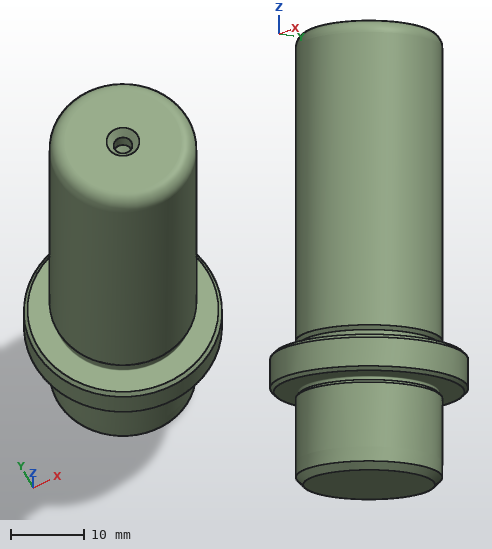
import cadquery as cq
import math

length = 63.0
pin_radius = 10.0
nose_radius = 2.0

end_chamfer = 1.0
lead_height = 3.0
lead_relief = 0.03

collar_radius = 13.515
collar_bottom = 13.0
collar_top = 18.0
collar_chamfer = 0.5

groove_depth = 0.45
groove_fillet = 0.1
lower_groove_width = 0.95
upper_groove_width = 2.0
upper_groove_taper_height = 0.55

centre_mouth_radius = 2.235
centre_pilot_radius = 1.25
centre_cone_angle = 90.0
centre_pilot_depth = 2.0
drill_point_angle = 120.0


def cone_height(radius_change, included_angle):
    """Axial height of a cone over a given change in radius."""
    return radius_change / math.tan(math.radians(included_angle / 2))


def quarter_offset(radius):
    """Distance from the tangent corner to the middle of a quarter arc, along each axis."""
    return radius * (1 - math.sqrt(0.5))


def make_body():
    lead_radius = pin_radius - lead_relief
    groove_radius = pin_radius - groove_depth
    lower_groove_start = collar_bottom - lower_groove_width
    upper_groove_end = collar_top + upper_groove_width
    fillet_radius = groove_radius + groove_fillet
    fillet_middle = groove_radius + quarter_offset(groove_fillet)
    nose_offset = quarter_offset(nose_radius)

    profile = (
        cq.Workplane("XZ")
        .moveTo(0, 0)
        .lineTo(lead_radius - end_chamfer, 0)
        .lineTo(lead_radius, end_chamfer)
        .lineTo(pin_radius, lead_height)
        .lineTo(pin_radius, lower_groove_start)
        .lineTo(groove_radius, lower_groove_start + groove_depth)
        .lineTo(groove_radius, collar_bottom - groove_fillet)
        .threePointArc(
            (fillet_middle, collar_bottom - quarter_offset(groove_fillet)),
            (fillet_radius, collar_bottom),
        )
        .lineTo(collar_radius - collar_chamfer, collar_bottom)
        .lineTo(collar_radius, collar_bottom + collar_chamfer)
        .lineTo(collar_radius, collar_top - collar_chamfer)
        .lineTo(collar_radius - collar_chamfer, collar_top)
        .lineTo(fillet_radius, collar_top)
        .threePointArc(
            (fillet_middle, collar_top + quarter_offset(groove_fillet)),
            (groove_radius, collar_top + groove_fillet),
        )
        .lineTo(groove_radius, upper_groove_end - upper_groove_taper_height)
        .lineTo(pin_radius, upper_groove_end)
        .lineTo(pin_radius, length - nose_radius)
        .threePointArc(
            (pin_radius - nose_offset, length - nose_offset),
            (pin_radius - nose_radius, length),
        )
        .lineTo(0, length)
        .close()
    )
    return profile.revolve(360, (0, 0), (0, 1))


def make_centre_hole():
    cone_bottom = length - cone_height(centre_mouth_radius - centre_pilot_radius, centre_cone_angle)
    pilot_bottom = cone_bottom - centre_pilot_depth
    tip = pilot_bottom - cone_height(centre_pilot_radius, drill_point_angle)
    profile = (
        cq.Workplane("XZ")
        .moveTo(0, length)
        .lineTo(centre_mouth_radius, length)
        .lineTo(centre_pilot_radius, cone_bottom)
        .lineTo(centre_pilot_radius, pilot_bottom)
        .lineTo(0, tip)
        .close()
    )
    return profile.revolve(360, (0, 0), (0, 1))


result = make_body().cut(make_centre_hole())